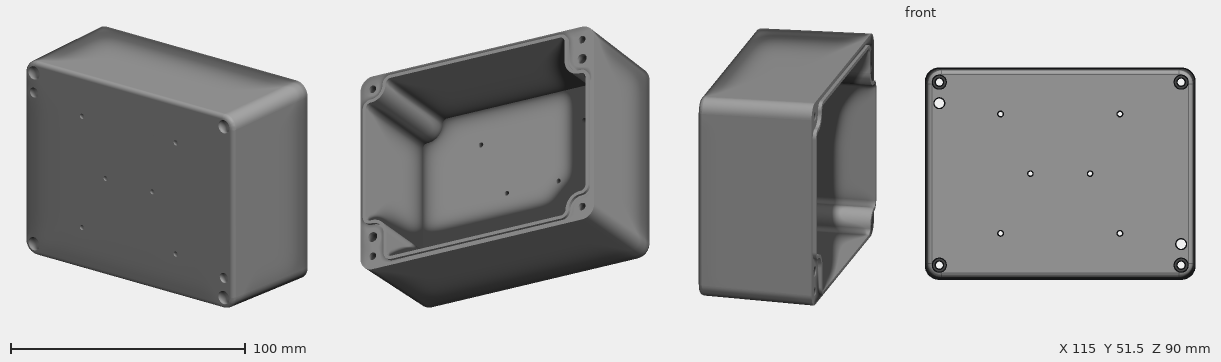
import cadquery as cq

width = 115.0
height = 90.0
depth = 51.5
lip_height = 1.5
body_depth = depth - lip_height
draft_angle = 1.0
corner_radius = 6.0
floor_edge_radius = 2.0
floor_thickness = 3.0

screw_x = 51.5
screw_z = 39.0
screw_diameter = 3.5
counterbore_diameter = 6.0
counterbore_depth = 10.0

side_hole_z = 30.0
side_hole_diameter = 4.5

mount_spacing = 50.8
mount_diameter = 2.3
pair_diameter = 2.2

lip_inset = 2.0
lip_thickness = 1.5
lip_fillet = 3.8
notch_radius = 5.8
single_notch_center = (screw_x, 39.5)
double_notch_center = (51.1, side_hole_z)

floor_y = -depth / 2
rim_y = floor_y + body_depth
back_y = depth / 2
corners = [(side_x, side_z) for side_x in (-1, 1) for side_z in (-1, 1)]


def block_between(x_range, y_range, z_range):
    """Box that fills the three ranges, each given by its two ends in any order."""
    ranges = (x_range, y_range, z_range)
    sizes = [abs(end - start) for start, end in ranges]
    middle = tuple((start + end) / 2 for start, end in ranges)
    return cq.Workplane("XY").box(*sizes).translate(middle)


def cylinders(points, diameter, length):
    """Cylinders that run along +Y from the floor face at the given (x, z) points."""
    plane = cq.Plane(origin=(0, floor_y, 0), xDir=(1, 0, 0), normal=(0, -1, 0))
    return cq.Workplane(plane).pushPoints(points).circle(diameter / 2).extrude(-length)


def make_body():
    """Drafted block, widest at the rim, with rounded corners and a rounded floor edge."""
    rim_plane = cq.Plane(origin=(0, rim_y, 0), xDir=(1, 0, 0), normal=(0, -1, 0))
    block = cq.Workplane(rim_plane).rect(width, height).extrude(body_depth, taper=draft_angle)
    block = block.edges("not(<Y or >Y)").fillet(corner_radius)
    return block.faces("<Y").edges().fillet(floor_edge_radius)


def make_lip_prism(y_start, inward=0.0):
    """Prism from y_start to the back whose outline is the lip's outer outline moved inward."""
    half_x = width / 2 - lip_inset - inward
    half_z = height / 2 - lip_inset - inward
    notch_size = notch_radius + inward
    y_range = (y_start, back_y)
    middle_y = (y_start + back_y) / 2
    prism = block_between((-half_x, half_x), y_range, (-half_z, half_z))

    def round_edge(solid, x, z, radius):
        nearest = cq.selectors.NearestToPointSelector((x, middle_y, z))
        return solid.edges("|Y").edges(nearest).fillet(radius)

    for side_x, side_z in corners:
        has_side_hole = side_x != side_z
        center_x, center_z = double_notch_center if has_side_hole else single_notch_center
        inner_x = side_x * (center_x - notch_size)
        inner_z = side_z * (center_z - notch_size)
        notch = block_between((inner_x, side_x * width), y_range, (inner_z, side_z * height))
        prism = prism.cut(round_edge(notch, inner_x, inner_z, notch_size))
        prism = round_edge(prism, side_x * half_x, inner_z, lip_fillet - inward)
        prism = round_edge(prism, inner_x, side_z * half_z, lip_fillet - inward)
    return prism


lip = make_lip_prism(rim_y)
cavity = make_lip_prism(floor_y + floor_thickness, inward=lip_thickness)
enclosure = make_body().union(lip).cut(cavity)

screws = [(side_x * screw_x, side_z * screw_z) for side_x, side_z in corners]
side_holes = [(-screw_x, side_hole_z), (screw_x, -side_hole_z)]
enclosure = enclosure.cut(cylinders(screws, screw_diameter, depth))
enclosure = enclosure.cut(cylinders(screws, counterbore_diameter, counterbore_depth))
enclosure = enclosure.cut(cylinders(side_holes, side_hole_diameter, depth))

square = [(side_x * mount_spacing / 2, side_z * mount_spacing / 2) for side_x, side_z in corners]
pair = [(-mount_spacing / 4, 0), (mount_spacing / 4, 0)]
enclosure = enclosure.cut(cylinders(square, mount_diameter, floor_thickness))
enclosure = enclosure.cut(cylinders(pair, pair_diameter, floor_thickness))

result = enclosure